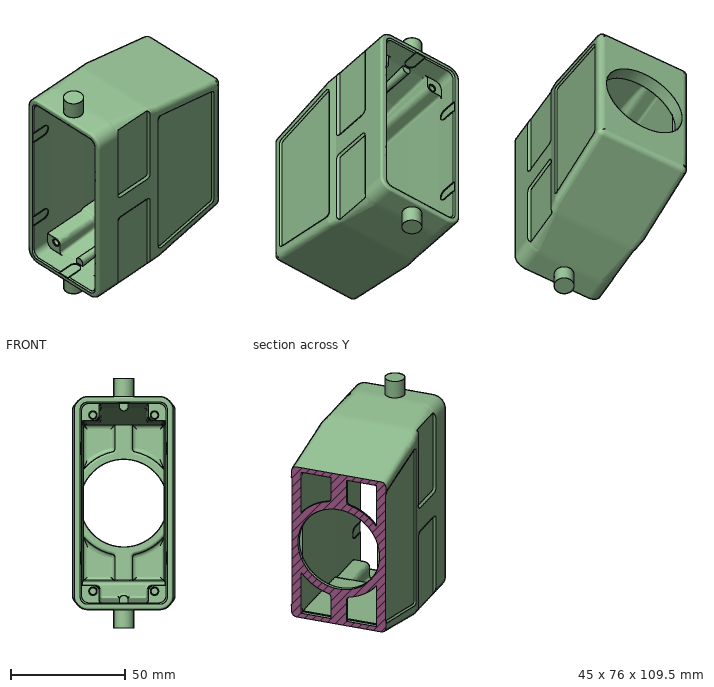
import cadquery as cq
import math


total_depth = 76.0
rear_half_width = 22.5
front_half_width = 21.7
rim_half_length = 46.75
overall_length = 109.5
pin_tip_z = overall_length / 2

skirt_end_y = 11.0
waist_y = 32.2
shoulder_y = 37.2
waist_half_length = 44.5
rear_half_length = 35.7
skirt_corner = 6.0
rear_corner = 2.6
bend_reach = 1.35
rear_edge_radius = 2.6
rim_edge_radius = 1.0

rim_bevel = 0.6
cavity_half_width = 18.5
cavity_half_length = 43.7
cavity_waist_half_width = 18.1
cavity_waist_half_length = 41.6
cavity_waist_y = 31.0
floor_y = 70.0
cavity_floor_half_width = 17.7
cavity_floor_half_length = 34.2
cavity_corner = 3.2
cavity_floor_corner = 1.5

entry_radius = 19.2
ring_radius = 23.0
rib_half_width = 3.9
pocket_depth = 3.5
pocket_floor_radius = 1.9
pocket_corner_radius = 1.3
pocket_lip_radius = 1.2

boss_front_y = 9.0
boss_front_x = 10.8
boss_front_z = 36.2
boss_draft = 1.5
boss_corner = 2.5
root_radius = 1.1
screw_x = 13.5
screw_z = 38.6
screw_radius = 1.5
screw_bevel = 0.35
screw_depth = 20.0

block_front_y = 30.0
block_front_z = 34.7
block_floor_z = 33.7
block_edge_radius = 1.6

key_radius = 1.95
key_axis_z = 42.4
key_front_y = 10.0
key_end_y = 40.0
recess_half_width = 2.6
recess_end_y = 9.6
recess_depth = 0.4
side_recess_z = 24.0

panel_bevel_angle = 45.0
grip_depth = 1.0
grip_front_y = 11.8
grip_rear_y = 32.1
grip_inner_z = 5.7
grip_corner = 2.0
label_depth = 0.8
label_front_y = 36.4
label_rear_y = 71.6
label_front_half_length = 38.5
label_rear_half_length = 31.9
label_corner = 2.0

pin_radius = 4.4
pin_y = 6.25


def between(value, start, end, start_value, end_value):
    """Linear interpolation, held constant outside the interval."""
    share = min(max((value - start) / (end - start), 0.0), 1.0)
    return start_value + share * (end_value - start_value)


def section_plane(y):
    """Plane across the hood at depth y: local x is X, local y is Z, the normal points to -Y."""
    return cq.Workplane(cq.Plane(origin=(0, y, 0), xDir=(1, 0, 0), normal=(0, -1, 0)))


def ruled_body(stations):
    """Stack of ruled stretches through rounded sections (y, half width, half length, corner)."""
    wires = []
    for y, half_width, half_length, corner in stations:
        block = section_plane(y).rect(2 * half_width, 2 * half_length).extrude(corner)
        wires.append(block.edges("|Y").fillet(corner).faces(">Y").wires().val())
    return cq.Workplane(cq.Solid.makeLoft(wires, True))


def outer_half_length(y):
    if y < waist_y:
        return between(y, skirt_end_y, waist_y, rim_half_length, waist_half_length)
    return between(y, waist_y, total_depth, waist_half_length, rear_half_length)


def outer_station(y):
    half_width = between(y, waist_y, shoulder_y, front_half_width, rear_half_width)
    corner = between(y, skirt_end_y, waist_y, skirt_corner, rear_corner)
    return y, half_width, outer_half_length(y), corner


def bend_radius(y):
    """Radius easing the bend of the +Z and -Z faces at depth y over bend_reach on both sides."""
    slope_before = outer_half_length(y) - outer_half_length(y - 1)
    slope_after = outer_half_length(y + 1) - outer_half_length(y)
    turn = abs(math.atan(slope_after) - math.atan(slope_before))
    return bend_reach / math.tan(turn / 2)


def make_eased_envelope():
    """Half outline of the hood seen along X with rounded bends, swept and mirrored in Z."""
    outline = cq.Workplane("YZ").lineTo(0, rim_half_length)
    for y in (skirt_end_y, waist_y):
        start_y = y - bend_reach
        end_y = y + bend_reach
        outline = outline.lineTo(start_y, outer_half_length(start_y))
        outline = outline.radiusArc((end_y, outer_half_length(end_y)), bend_radius(y))
    outline = outline.lineTo(total_depth, rear_half_length).lineTo(total_depth, 0).close()
    half = outline.extrude(2 * rear_half_width, both=True)
    return half.union(half.mirror("XY"))


def make_outer():
    depths = [0, skirt_end_y, waist_y, shoulder_y, total_depth]
    body = ruled_body([outer_station(y) for y in depths])
    body = body.intersect(make_eased_envelope())
    body = body.faces(">Y").edges().fillet(rear_edge_radius)
    return body.faces("<Y").edges().fillet(rim_edge_radius)


def make_cavity():
    return ruled_body([
        (0, cavity_half_width + rim_bevel, cavity_half_length + rim_bevel, cavity_corner),
        (rim_bevel, cavity_half_width, cavity_half_length, cavity_corner),
        (skirt_end_y, cavity_half_width, cavity_half_length, cavity_corner),
        (cavity_waist_y, cavity_waist_half_width, cavity_waist_half_length, cavity_corner),
        (floor_y, cavity_floor_half_width, cavity_floor_half_length, cavity_floor_corner),
    ])


def block_between(x_range, y_range, z_range):
    """Box spanning the given (low, high) ranges."""
    spans = [high - low for low, high in (x_range, y_range, z_range)]
    corner = (x_range[0], y_range[0], z_range[0])
    return cq.Workplane("XY").box(*spans, centered=False).translate(corner)


def rod_along_y(x, z, radius, y_start, y_end):
    return section_plane(y_start).center(x, z).circle(radius).extrude(y_start - y_end)


def make_boss():
    """Screw boss for the +X, +Z corner; its two free faces lean inward toward the floor."""
    def corner_post(y, x, z):
        width = rear_half_width - x
        length = rim_half_length - z
        return section_plane(y).center(x + width / 2, z + length / 2).rect(width, length)

    front = corner_post(boss_front_y, boss_front_x, boss_front_z).wires().val()
    floor = corner_post(floor_y, boss_front_x - boss_draft, boss_front_z - boss_draft).wires().val()
    post = cq.Workplane(cq.Solid.makeLoft([front, floor], True))
    inner_edge = cq.selectors.NearestToPointSelector((
        boss_front_x - boss_draft / 2,
        (boss_front_y + floor_y) / 2,
        boss_front_z - boss_draft / 2,
    ))
    return post.edges(inner_edge).fillet(boss_corner)


def make_screw_hole():
    """Blind screw hole with a bevelled mouth for the +X, +Z boss."""
    hole = rod_along_y(screw_x, screw_z, screw_radius, boss_front_y, boss_front_y + screw_depth)
    mouth = cq.Solid.makeCone(
        screw_radius + screw_bevel,
        screw_radius,
        screw_bevel,
        pnt=cq.Vector(screw_x, boss_front_y, screw_z),
        dir=cq.Vector(0, 1, 0),
    )
    return hole.union(cq.Workplane(mouth))


def in_four_corners(tool):
    pair = tool.union(tool.mirror("YZ"))
    return pair.union(pair.mirror("XY"))


def make_step_block():
    """Block thickening the -Z end wall, with a rounded front edge."""
    block = (
        cq.Workplane("YZ")
        .moveTo(block_front_y, -block_front_z)
        .lineTo(floor_y, -block_floor_z)
        .lineTo(floor_y, -rim_half_length)
        .lineTo(block_front_y, -rim_half_length)
        .close()
        .extrude(rear_half_width, both=True)
    )
    front_edge = cq.selectors.NearestToPointSelector((0, block_front_y, -block_front_z))
    return block.edges(front_edge).fillet(block_edge_radius)


def make_key_ribs():
    """Half-round ribs on the middle of both end walls."""
    rib = rod_along_y(0, key_axis_z, key_radius, key_front_y, key_end_y)
    rib = rib.union(block_between(
        (-key_radius, key_radius), (key_front_y, key_end_y), (key_axis_z, rim_half_length)))
    return rib.union(rib.mirror("XY"))


def make_guide_recesses():
    """Shallow round-ended recesses behind the rim: one per end wall, two per side wall."""
    straight_end_y = recess_end_y - recess_half_width

    def recess(reach):
        """Recess footprint centred on the Y axis, standing on XY up to the given reach."""
        return (
            cq.Workplane("XY")
            .moveTo(-recess_half_width, 0)
            .lineTo(-recess_half_width, straight_end_y)
            .threePointArc((0, recess_end_y), (recess_half_width, straight_end_y))
            .lineTo(recess_half_width, 0)
            .close()
            .extrude(reach)
        )

    end_recess = recess(cavity_half_length + recess_depth)
    tools = end_recess.union(end_recess.mirror("XY"))
    side_recess = recess(cavity_half_width + recess_depth).rotate((0, 0, 0), (0, 1, 0), 90)
    for side in (side_recess, side_recess.mirror("YZ")):
        for z in (-side_recess_z, side_recess_z):
            tools = tools.union(side.translate((0, 0, z)))
    return tools


def make_floor_island():
    """Entry ring joined to the centre rib, with rounded junctions and a rounded lip."""
    ring = rod_along_y(0, 0, ring_radius, floor_y, total_depth)
    rib = block_between(
        (-rib_half_width, rib_half_width),
        (floor_y, total_depth),
        (-rim_half_length, rim_half_length),
    )
    island = ring.union(rib)
    junction_z = math.sqrt(ring_radius ** 2 - rib_half_width ** 2)
    for x in (rib_half_width, -rib_half_width):
        for z in (junction_z, -junction_z):
            junction = cq.selectors.NearestToPointSelector((x, (floor_y + total_depth) / 2, z))
            island = island.edges(junction).fillet(pocket_corner_radius)
    return island.faces("<Y").edges().fillet(pocket_lip_radius)


def make_floor_pocket():
    """Pocket in the +X, +Z quarter of the floor, bounded by the entry ring and the centre rib."""
    blank = block_between(
        (0, cavity_floor_half_width),
        (floor_y, floor_y + pocket_depth),
        (0, cavity_floor_half_length),
    )
    pocket = blank.cut(make_floor_island())
    return pocket.faces(">Y").edges().fillet(pocket_floor_radius)


def make_grip_panel():
    """Bevelled recess on the +X side of the front section, +Z half, running out over the corner."""
    outline = (
        cq.Workplane("YZ", origin=(front_half_width, 0, 0))
        .moveTo(grip_front_y, pin_tip_z)
        .lineTo(grip_front_y, grip_inner_z + grip_corner)
        .radiusArc((grip_front_y + grip_corner, grip_inner_z), -grip_corner)
        .lineTo(grip_rear_y - grip_corner, grip_inner_z)
        .radiusArc((grip_rear_y, grip_inner_z + grip_corner), -grip_corner)
        .lineTo(grip_rear_y, pin_tip_z)
        .close()
    )
    return outline.extrude(-grip_depth, taper=panel_bevel_angle)


def make_label_panel():
    """Shallow bevelled trapezoid recess on the +X side of the rear section."""
    outline = (
        cq.Sketch()
        .polygon([
            (label_front_y, -label_front_half_length),
            (label_rear_y, -label_rear_half_length),
            (label_rear_y, label_rear_half_length),
            (label_front_y, label_front_half_length),
            (label_front_y, -label_front_half_length),
        ])
        .vertices()
        .fillet(label_corner)
    )
    face = cq.Workplane("YZ", origin=(rear_half_width, 0, 0)).placeSketch(outline)
    return face.extrude(-label_depth, taper=panel_bevel_angle)


def make_pins():
    root_z = cavity_half_length + rim_bevel
    pin = (
        cq.Workplane("XY", origin=(0, pin_y, root_z))
        .circle(pin_radius)
        .extrude(pin_tip_z - root_z)
    )
    return pin.union(pin.mirror("XY"))


def round_roots(cavity):
    """Round the roots of the bosses on the end walls and the foot of the step block."""
    waist_z = cavity_waist_half_length
    mid_boss_y = (boss_front_y + cavity_waist_y) / 2
    rear_root_y = (cavity_waist_y + floor_y) / 2
    rear_root_z = (waist_z + cavity_floor_half_length) / 2
    root_points = [(0, block_front_y, key_radius - key_axis_z)]
    for x in (boss_front_x, -boss_front_x):
        root_points += [
            (x / 2, block_front_y, -waist_z),
            (x, boss_front_y, -cavity_half_length),
            (x, mid_boss_y, -cavity_half_length),
            (x, block_front_y, -waist_z),
            (x, boss_front_y, cavity_half_length),
            (x, mid_boss_y, cavity_half_length),
            (x, rear_root_y, rear_root_z),
        ]
    roots = cavity.newObject([])
    for point in root_points:
        roots = roots.add(cavity.edges(cq.selectors.NearestToPointSelector(point)))
    return roots.fillet(root_radius)


outer = make_outer()
cavity = make_cavity().cut(in_four_corners(make_boss())).cut(make_step_block())
cavity = round_roots(cavity.cut(make_key_ribs()))
cavity = cavity.union(make_guide_recesses())

label_panel = make_label_panel()
entry = rod_along_y(0, 0, entry_radius, floor_y, total_depth)

result = (
    outer
    .union(make_pins())
    .cut(cavity)
    .cut(in_four_corners(make_floor_pocket()))
    .cut(entry)
    .cut(in_four_corners(make_screw_hole()))
    .cut(in_four_corners(make_grip_panel()))
    .cut(label_panel.union(label_panel.mirror("YZ")))
)